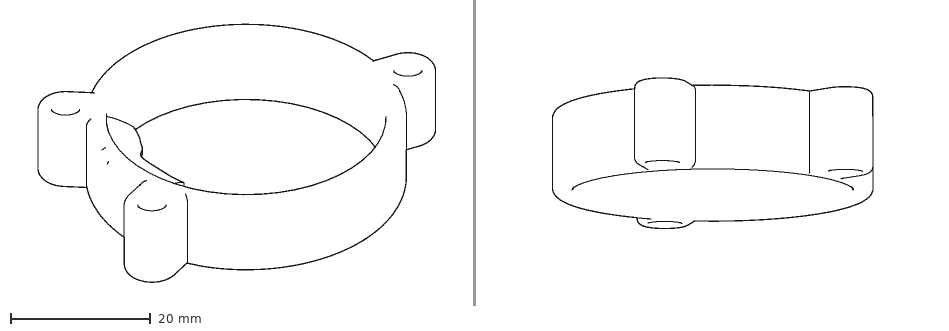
import cadquery as cq
import math

height = 12.0
outer_radius = 23.0
inner_radius = 20.0

eyelet_diameter = 4.0
lug_radius = eyelet_diameter
back_lug_y = 26.0
front_lug_x = 13.55
front_lug_y = -22.1
lug_centers = [(0, back_lug_y), (front_lug_x, front_lug_y), (-front_lug_x, front_lug_y)]
lug_root_radius = (outer_radius + inner_radius) / 2

rim_flat = 0.01
eyelet_wall = lug_radius - eyelet_diameter / 2
edge_round = (eyelet_wall - rim_flat) / 2

lip_half_angle = math.radians(29.4)
lip_thickness = 1.0
lip_rim_z = 10.75
lip_middle_radius = 17.7
lip_middle_z = 10.0
lip_edge_radius = 15.25
lip_edge_z = 8.35
lip_corner_radius = 16.1
lip_notch_radius = 16.7
lobe_crest = (6.4, -14.0)
lobe_flank = (3.0, -15.2)


def make_lug(x, y):
    """Solid lug with a round end at (x, y) and a straight root running back into the ring wall."""
    reach = math.hypot(x, y)
    angle = math.degrees(math.atan2(y, x))
    root = (
        cq.Workplane("XY")
        .center((reach + lug_root_radius) / 2, 0)
        .rect(reach - lug_root_radius, 2 * lug_radius)
        .extrude(height)
        .rotate((0, 0, 0), (0, 0, 1), angle)
    )
    end = cq.Workplane("XY").center(x, y).circle(lug_radius).extrude(height)
    return root.union(end)


def make_ring():
    """Ring with three eyelet lugs, rounded along every top and bottom edge."""
    ring = cq.Workplane("XY").circle(outer_radius).extrude(height)
    for x, y in lug_centers:
        ring = ring.union(make_lug(x, y))
    eyelets = cq.Workplane("XY").pushPoints(lug_centers).circle(eyelet_diameter / 2).extrude(height)
    bore = cq.Workplane("XY").circle(inner_radius).extrude(height)
    ring = ring.cut(eyelets).cut(bore)
    return ring.faces("|Z").edges().fillet(edge_round)


def polar_point(radius, angle):
    """Point at a radius from the ring axis, with the angle measured from the -Y direction."""
    return (radius * math.sin(angle), -radius * math.cos(angle))


def make_lip_prism():
    """Tall prism with the lip's outline: a ring sector with two lobes and a notch between them."""
    edge_points = [
        lobe_crest,
        lobe_flank,
        (0, -lip_notch_radius),
        (-lobe_flank[0], lobe_flank[1]),
        (-lobe_crest[0], lobe_crest[1]),
        polar_point(lip_corner_radius, -lip_half_angle),
    ]
    return (
        cq.Workplane("XY")
        .moveTo(*polar_point(inner_radius, -lip_half_angle))
        .threePointArc((0, -inner_radius), polar_point(inner_radius, lip_half_angle))
        .lineTo(*polar_point(lip_corner_radius, lip_half_angle))
        .spline(edge_points, includeCurrent=True)
        .close()
        .extrude(height)
    )


def make_lip():
    """Lip cut from a domed shell of revolution that meets the ring wall."""
    shell = (
        cq.Workplane("XZ")
        .moveTo(inner_radius, lip_rim_z)
        .threePointArc((lip_middle_radius, lip_middle_z), (lip_edge_radius, lip_edge_z))
        .lineTo(lip_edge_radius, lip_edge_z - lip_thickness)
        .threePointArc(
            (lip_middle_radius, lip_middle_z - lip_thickness),
            (inner_radius, lip_rim_z - lip_thickness),
        )
        .close()
        .revolve(360, (0, 0, 0), (0, 1, 0))
    )
    return shell.intersect(make_lip_prism())


ring = make_ring()
lip = make_lip()

result = cq.Compound.makeCompound([ring.solids().val(), lip.solids().val()])